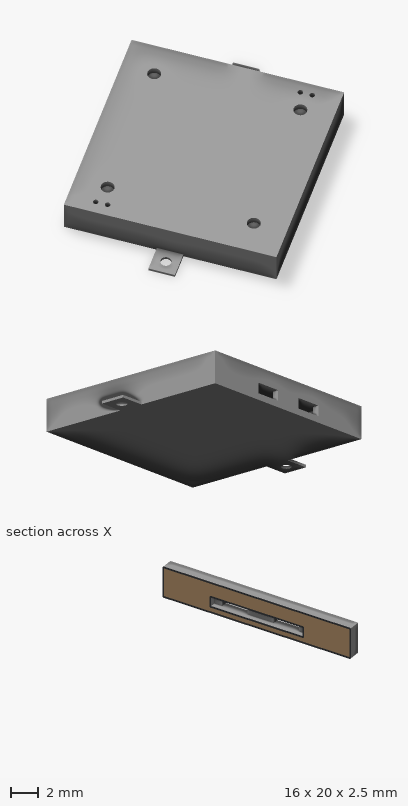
import cadquery as cq

HOUSING_SIDE = 16.0
HOUSING_HEIGHT = 2.5
HALF_SIDE = HOUSING_SIDE / 2

OVERALL_LENGTH = 20.0
TAB_WIDTH = 2.0
TAB_THICKNESS = 0.2
TAB_LENGTH = (OVERALL_LENGTH - HOUSING_SIDE) / 2
TAB_HOLE_DIAMETER = 0.8
BRACKET_HEIGHT = 0.8

PLATE_WIDTH = 7.86
PLATE_THICKNESS = 0.5

WINDOW_WIDTH = 2.16
WINDOW_TOP = 1.3
WINDOW_HEIGHT = WINDOW_TOP - PLATE_THICKNESS
WINDOW_SPACING = 4.4
WALL_THICKNESS = 0.5
CHAMBER_DEPTH = 1.0

TOP_HOLE_DEPTH = 0.5
LARGE_HOLE_DIAMETER = 1.0
LARGE_HOLE_SPACING = 11.0
SMALL_HOLE_DIAMETER = 0.4
SMALL_HOLE_SPACING = 0.9
SMALL_PAIR_X = 5.45
SMALL_PAIR_Y = 7.05


def standing_box(x_low, x_length, y_centre, y_width, z_low, height):
    """Box growing in +X from x_low and in +Z from z_low, centred on y_centre."""
    return (
        cq.Workplane("XY")
        .box(x_length, y_width, height, centered=(False, True, False))
        .translate((x_low, y_centre, z_low))
    )


def make_housing():
    return cq.Workplane("XY").box(HOUSING_SIDE, HOUSING_SIDE, HOUSING_HEIGHT, centered=(True, True, False))


def join_flush(body, insert):
    """Set an insert into the body, keeping the seam lines where their faces are flush."""
    return body.cut(insert, clean=False).union(insert, clean=False)


def add_base_plate(body):
    """Set the base plate into the foot of the -X wall and under the chamber."""
    plate_length = WALL_THICKNESS + CHAMBER_DEPTH
    return join_flush(body, standing_box(-HALF_SIDE, plate_length, 0, PLATE_WIDTH, 0, PLATE_THICKNESS))


def cut_windows(body):
    """Cut the two windows and the chamber that joins them, with the base plate as their floor."""
    for side in (-1, 1):
        window_y = side * WINDOW_SPACING / 2
        window = standing_box(
            -HALF_SIDE, WALL_THICKNESS, window_y, WINDOW_WIDTH, PLATE_THICKNESS, WINDOW_HEIGHT
        )
        body = body.cut(window)
    chamber_x = -HALF_SIDE + WALL_THICKNESS
    chamber = standing_box(chamber_x, CHAMBER_DEPTH, 0, PLATE_WIDTH, PLATE_THICKNESS, WINDOW_HEIGHT)
    return body.cut(chamber)


def add_brackets(body):
    """Set a bracket foot into the -Y and +Y walls, each with a holed tab reaching outwards."""
    for side in (-1, 1):
        foot_y = side * (HALF_SIDE - WALL_THICKNESS / 2)
        foot = standing_box(-TAB_WIDTH / 2, TAB_WIDTH, foot_y, WALL_THICKNESS, 0, BRACKET_HEIGHT)
        tab_y = side * (HALF_SIDE + TAB_LENGTH / 2)
        tab = standing_box(-TAB_WIDTH / 2, TAB_WIDTH, tab_y, TAB_LENGTH, 0, TAB_THICKNESS)
        hole = cq.Workplane("XY").center(0, tab_y).circle(TAB_HOLE_DIAMETER / 2).extrude(TAB_THICKNESS)
        body = join_flush(body, foot.union(tab).cut(hole))
    return body


def cut_top_holes(body, centres, diameter):
    """Sink flat-bottomed blind holes from the top face."""
    drills = (
        cq.Workplane("XY", origin=(0, 0, HOUSING_HEIGHT))
        .pushPoints(centres)
        .circle(diameter / 2)
        .extrude(-TOP_HOLE_DEPTH)
    )
    return body.cut(drills)


def large_hole_centres():
    offset = LARGE_HOLE_SPACING / 2
    return [(x, y) for x in (-offset, offset) for y in (-offset, offset)]


def small_hole_centres():
    """One pair of holes near the -X -Y corner and one near the +X +Y corner."""
    offset = SMALL_HOLE_SPACING / 2
    return [
        (side * SMALL_PAIR_X + shift, side * SMALL_PAIR_Y)
        for side in (-1, 1)
        for shift in (-offset, offset)
    ]


result = make_housing()
result = cut_windows(result)
result = cut_top_holes(result, large_hole_centres(), LARGE_HOLE_DIAMETER)
result = cut_top_holes(result, small_hole_centres(), SMALL_HOLE_DIAMETER)
result = add_base_plate(result)
result = add_brackets(result)